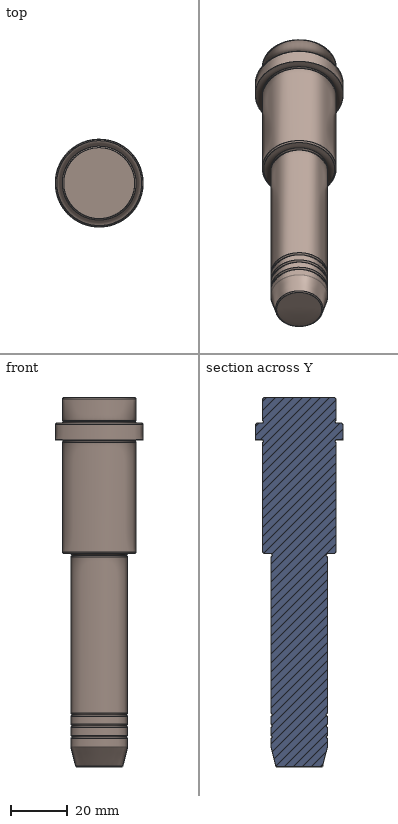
import cadquery as cq

total_length = 130.0
flange_diameter = 31.0
body_diameter = 26.0
shank_diameter = 20.0
tip_diameter = 16.6

head_height = 9.0
flange_height = 6.0
body_length = 40.0
tip_length = 7.0

edge_chamfer = 0.5
tip_chamfer = 0.4

relief_width = 0.9
relief_depth = 0.4

groove_count = 3
groove_pitch = 3.9
groove_width = 1.2
groove_depth = 0.5
lowest_groove_height = 10.5

flange_top = total_length - head_height
flange_bottom = flange_top - flange_height
body_bottom = flange_bottom - body_length


def cylinder(diameter, bottom, top):
    return cq.Workplane("XY").workplane(offset=bottom).circle(diameter / 2).extrude(top - bottom)


def vee_groove(diameter, centre_height, width, depth):
    """Symmetric V-section ring to be cut from a cylinder of the given diameter."""
    radius = diameter / 2
    half_width = width / 2
    return (
        cq.Workplane("XZ")
        .moveTo(radius, centre_height - half_width)
        .lineTo(radius - depth, centre_height)
        .lineTo(radius, centre_height + half_width)
        .close()
        .revolve(360, (0, 0, 0), (0, 1, 0))
    )


def tapered_tip():
    """Conical lead-in with a small chamfer around the bottom face."""
    return (
        cq.Workplane("XZ")
        .moveTo(0, 0)
        .lineTo(tip_diameter / 2 - tip_chamfer, 0)
        .lineTo(tip_diameter / 2, tip_chamfer)
        .lineTo(shank_diameter / 2, tip_length)
        .lineTo(0, tip_length)
        .close()
        .revolve(360, (0, 0, 0), (0, 1, 0))
    )


head = cylinder(body_diameter, flange_top, total_length).faces(">Z").chamfer(edge_chamfer)
flange = cylinder(flange_diameter, flange_bottom, flange_top).faces(">Z").chamfer(edge_chamfer)
body = cylinder(body_diameter, body_bottom, flange_bottom).faces("<Z").chamfer(edge_chamfer)
shank = cylinder(shank_diameter, tip_length, body_bottom)
pin = head.union(flange).union(body).union(shank).union(tapered_tip())

for relief_centre in (flange_top + relief_width / 2, flange_bottom - relief_width / 2):
    pin = pin.cut(vee_groove(body_diameter, relief_centre, relief_width, relief_depth))

shank_grooves = [lowest_groove_height + index * groove_pitch for index in range(groove_count)]
shank_grooves.append(body_bottom - groove_width / 2)
for groove_height in shank_grooves:
    pin = pin.cut(vee_groove(shank_diameter, groove_height, groove_width, groove_depth))

result = pin